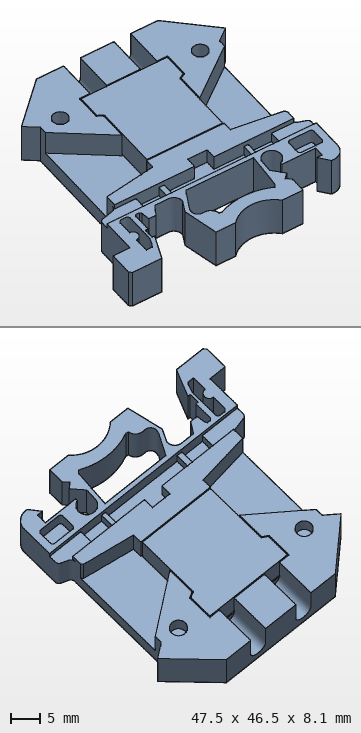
import cadquery as cq
import math

height = 8.1
step = 1.0
shelf_z = height - step
recess_depth = 3 * step
tray_z = height - 5 * step

head_half_width = 12.5
tip_x = 8.0
tip_y = 21.0
neck_x = 9.95
body_half_width = 18.45
body_end_x = 32.4

cover_gap = 0.2
cover_x = tip_x + cover_gap
cover_end_x = 26.5
cover_wide = 8.9
cover_narrow = 7.8
shoulder_start_x = 12.95
shoulder_end_x = 13.6

tray_side = cover_narrow + cover_gap
tray_head_outer_x = 11.45
tray_head_inner_x = 19.35
tray_end_inner_x = 28.55
tray_end_outer_x = 30.05
tray_corner_cut = 0.35

wire_slot_width = 3.4
wire_slot_y = 5.2
wire_slot_axis_z = 3.32
screw_hole_diameter = 3.05
screw_hole_x = 10.0
screw_hole_y = 14.4

foot_x = 35.45
foot_end_x = 47.5
foot_top = tip_y
foot_bottom = -22.05
heel_bottom = -25.5
web_x = 36.35
lip_x = 40.38
jaw_x = 42.35
saddle_y = 1.0
flank_corner_x = 32.5
flank_end_x = 33.4
flank_inner_round = 0.95
flank_outer_round = 0.75

strip_recesses = [(-14.0, -9.3), (-8.2, 8.15), (9.05, 13.8)]
notch_x = 30.35
notch_half_width = 2.0


def rounded_outline(points, z=0.0):
    """Closed outline through (x, y) or (x, y, corner radius) points."""
    wire = None
    count = len(points)
    for i, point in enumerate(points):
        corner = cq.Vector(point[0], point[1])
        radius = point[2] if len(point) > 2 else 0.0
        before = points[i - 1]
        after = points[(i + 1) % count]
        to_before = (cq.Vector(before[0], before[1]) - corner).normalized()
        to_after = (cq.Vector(after[0], after[1]) - corner).normalized()
        half_angle = to_before.getAngle(to_after) / 2
        reach = radius / math.tan(half_angle)
        start = corner + to_before * reach
        if wire is None:
            wire = cq.Workplane("XY", origin=(0, 0, z)).moveTo(start.x, start.y)
        else:
            wire = wire.lineTo(start.x, start.y)
        if radius:
            bisector = (to_before + to_after).normalized()
            middle = corner + bisector * (radius / math.sin(half_angle) - radius)
            end = corner + to_after * reach
            wire = wire.threePointArc((middle.x, middle.y), (end.x, end.y))
    return wire.close()


def box(x_range, y_range, z_range):
    """Block spanning the given (low, high) range along each axis."""
    length, width, rise = (high - low for low, high in (x_range, y_range, z_range))
    corner = (x_range[0], y_range[0], z_range[0])
    return cq.Workplane("XY").box(length, width, rise, centered=False).translate(corner)


def housing():
    upper = [(0, head_half_width), (tip_x, tip_y), (neck_x, body_half_width), (body_end_x, body_half_width)]
    lower = [(x, -y) for x, y in reversed(upper)]
    return cq.Workplane("XY").polyline(upper + lower).close().extrude(height)


def side_tray(side):
    corners = [
        (tray_head_outer_x, side * body_half_width),
        (tray_head_inner_x, side * tray_side),
        (tray_end_inner_x, side * tray_side),
        (tray_end_outer_x, side * body_half_width),
    ]
    return cq.Workplane("XY", origin=(0, 0, tray_z)).polyline(corners).close().extrude(height - tray_z)


def tray_corner_relief():
    corners = [
        (tray_end_outer_x - tray_corner_cut, body_half_width),
        (tray_end_outer_x, body_half_width - tray_corner_cut),
        (tray_end_outer_x + tray_corner_cut, body_half_width),
    ]
    return cq.Workplane("XY", origin=(0, 0, tray_z)).polyline(corners).close().extrude(height - tray_z)


def cover_outline():
    upper = [
        (cover_x, cover_wide),
        (shoulder_start_x, cover_wide),
        (shoulder_end_x, cover_narrow),
        (cover_end_x, cover_narrow),
    ]
    lower = [(x, -y) for x, y in reversed(upper)]
    return cq.Workplane("XY", origin=(0, 0, tray_z)).polyline(upper + lower).close()


def cover_groove():
    depth = height - tray_z
    pocket = cover_outline().offset2D(cover_gap, "intersection").extrude(depth)
    return pocket.cut(cover_outline().extrude(depth))


def wire_slot(y):
    radius = wire_slot_width / 2
    round_bottom = cq.Workplane("YZ").center(y, wire_slot_axis_z).circle(radius).extrude(tip_x)
    opening = box((0, tip_x), (y - radius, y + radius), (wire_slot_axis_z, height))
    return round_bottom.union(opening)


def screw_holes():
    return (
        cq.Workplane("XY", origin=(0, 0, height - recess_depth))
        .pushPoints([(screw_hole_x, screw_hole_y), (screw_hole_x, -screw_hole_y)])
        .circle(screw_hole_diameter / 2)
        .extrude(recess_depth)
    )


def low_strip():
    """Strip joining the housing to the foot, with flared and rounded ends."""
    outline = [
        (tray_end_outer_x, body_half_width),
        (flank_corner_x, body_half_width, flank_inner_round),
        (flank_end_x, foot_top, flank_outer_round),
        (foot_x, foot_top),
        (foot_x, foot_bottom),
        (flank_end_x, foot_bottom, flank_outer_round),
        (flank_corner_x, -body_half_width, flank_inner_round),
        (tray_end_outer_x, -body_half_width),
    ]
    return rounded_outline(outline).extrude(shelf_z)


def strip_cuts():
    recess_z = (height - recess_depth, height)
    cuts = box((notch_x, foot_x), (-notch_half_width, notch_half_width), recess_z)
    for y_range in strip_recesses:
        cuts = cuts.union(box((body_end_x, foot_x), y_range, recess_z))
    return cuts


def foot():
    """Outer profile of the foot, clockwise from its top left corner."""
    hook_radius = 2.5
    hook_x = 41.85
    hook_y = foot_top - hook_radius
    diagonal = hook_radius * math.sqrt(0.5)
    relief_radius = 1.85
    relief_x = web_x + relief_radius
    relief_y = 9.98
    relief_mouth_y = 10.55
    relief_mouth_x = relief_x + math.sqrt(relief_radius**2 - (relief_mouth_y - relief_y) ** 2)
    seat_half_height = 4.8
    seat_bottom_x = 45.45
    arm_top = 10.05
    hook_inner_y = 17.5
    ledge_y = -16.95
    ledge_floor_y = -17.5
    heel_chamfer = 0.48
    outline = (
        cq.Workplane("XY")
        .moveTo(foot_x, foot_top)
        .lineTo(hook_x, foot_top)
        .threePointArc((hook_x + diagonal, hook_y + diagonal), (hook_x + hook_radius, hook_y))
        .lineTo(hook_x + hook_radius, 18.05)
        .lineTo(jaw_x, 16.4)
        .lineTo(jaw_x, hook_inner_y)
        .lineTo(lip_x, hook_inner_y)
        .lineTo(lip_x, relief_mouth_y)
        .lineTo(relief_mouth_x, relief_mouth_y)
        .threePointArc((web_x, relief_y), (relief_x, relief_y - relief_radius))
        .lineTo(lip_x, 8.05)
        .lineTo(42.55, arm_top)
        .lineTo(43.45, 9.1)
        .lineTo(44.3, arm_top)
        .lineTo(foot_end_x, arm_top)
        .lineTo(foot_end_x, saddle_y + seat_half_height)
        .threePointArc((seat_bottom_x, saddle_y), (foot_end_x, saddle_y - seat_half_height))
        .lineTo(foot_end_x, -7.85)
        .lineTo(40.5, -9.45)
        .lineTo(38.2, -8.35)
        .threePointArc((36.8, -8.9), (web_x, -10.15))
        .lineTo(web_x, -12.82)
        .lineTo(38.45, -14.0)
        .lineTo(38.45, -15.5)
        .lineTo(36.7, -15.7)
        .lineTo(web_x, -16.0)
        .lineTo(web_x, -16.7)
        .lineTo(36.58, ledge_y)
        .lineTo(lip_x, ledge_y)
        .lineTo(lip_x, ledge_floor_y)
        .lineTo(jaw_x, ledge_floor_y)
        .lineTo(jaw_x, ledge_y)
        .lineTo(foot_end_x, -18.95)
        .lineTo(foot_end_x, heel_bottom + heel_chamfer)
        .lineTo(foot_end_x - heel_chamfer, heel_bottom)
        .lineTo(jaw_x, heel_bottom)
        .lineTo(jaw_x, foot_bottom)
        .lineTo(foot_x, foot_bottom)
        .close()
    )
    return outline.extrude(height)


def seat_window():
    """Opening through the foot behind the curved seat."""
    return (
        cq.Workplane("XY")
        .moveTo(web_x, 7.45)
        .lineTo(43.7, 6.9)
        .lineTo(44.18, 6.45)
        .lineTo(43.95, 5.85)
        .threePointArc((42.95, saddle_y), (44.1, -4.28))
        .lineTo(44.0, -4.8)
        .threePointArc((42.9, -5.4), (42.4, -6.55))
        .lineTo(42.4, -7.35)
        .threePointArc((41.9, -8.3), (40.85, -8.55))
        .lineTo(40.38, -8.45)
        .lineTo(web_x, -6.45)
        .close()
        .extrude(height)
    )


def spring_slot():
    """Opening through the lower limb of the foot, with a round nub on its floor."""
    top = -18.0
    floor = -20.05
    left = 35.95
    right = 44.35
    nub_radius = 1.05
    corners = [
        (left, top, 0.55),
        (jaw_x, top),
        (43.85, -18.5),
        (right, -18.8),
        (right, floor),
        (left, floor, 0.65),
    ]
    slot = rounded_outline(corners).extrude(height)
    nub = cq.Workplane("XY").center(lip_x, floor).circle(nub_radius).extrude(height)
    return slot.cut(nub)


def blind_pocket():
    left = web_x
    right = 39.85
    top = 19.5
    bottom = 14.45
    corner_radius = 0.5
    corners = [
        (left, top, corner_radius),
        (right, top, corner_radius),
        (right, bottom, corner_radius),
        (left, bottom, corner_radius),
    ]
    return rounded_outline(corners, height - recess_depth).extrude(recess_depth)


result = housing().union(low_strip()).cut(strip_cuts())
for side in (1, -1):
    result = result.cut(side_tray(side)).cut(wire_slot(side * wire_slot_y))
result = result.cut(tray_corner_relief()).cut(cover_groove()).cut(screw_holes())
result = result.union(foot())
result = result.cut(seat_window()).cut(spring_slot()).cut(blind_pocket())